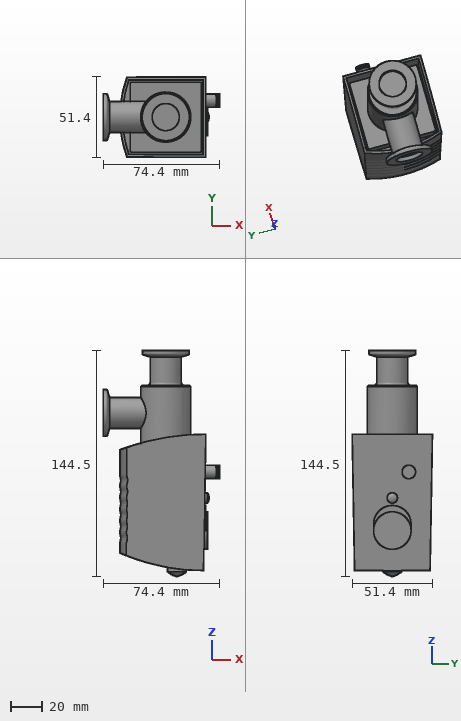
import cadquery as cq
import math


total_height = 144.5
flange_radius = 15.0
flange_edge = 1.9
flange_round_end = 2.9
flange_round_radius_end = 14.2
flange_thickness = 4.2
pipe_radius = 10.0
bore_radius = 8.7
bore_depth = 2.9
body_radius = 16.0
body_top_z = 122.2
body_chamfer = 0.9
neck_fillet = 1.9
side_pipe_z = 104.6
side_flange_face = 40.0

draft = math.tan(math.radians(1.0))
housing_top_z = 91.0
housing_bottom_z = 3.9
back_top_x = 25.7
half_width_top = 25.7
front_x = -29.3
front_radius = 73.7
front_axis_x = front_x + front_radius
top_arc_radius = 157.5
bottom_arc_radius = 133.0
wall = 1.7
margin = 7.2

grip_bottom_z = 20.7
grip_top_z = 65.6
grip_bands = 11
grip_runout = 2.2
grip_band = (grip_top_z - grip_bottom_z - 2 * grip_runout) / grip_bands
wave_rise = 0.26

block_top_z = 80.8
block_front_x = -22.5
block_back_x = 22.7
block_half_width = 22.4
block_corner = 0.7
recess_floor_z = 72.2

connector_y = 10.5
connector_z = 66.9
connector_radius = 4.3
connector_end_x = 34.4
connector_disc = 1.2
connector_groove = 1.0
groove_radius = 2.9

button_z = 50.3
button_radius = 3.3
button_rim_x = 26.6
button_tip_x = 27.7

badge_z = 29.5
badge_radius = 12.0
badge_plate_x = 25.7
badge_disc_x = 26.7
badge_shift = 4.0

foot_x = 7.1
foot_radius = 6.0
foot_rim_z = 3.2
foot_mid_z = 1.2
hole_x = -17.6
hole_y = 17.5
hole_radius = 1.5
hole_top_z = 13.7

root_x = 14.5
root_z = 28.9


def back_x(z):
    return back_top_x - (housing_top_z - z) * draft


def half_width(z):
    return half_width_top - (housing_top_z - z) * draft


def arc_drop(radius, run):
    """Distance an arc falls over a run measured from its level end."""
    return radius - math.sqrt(radius**2 - run**2)


def flanged_pipe(length):
    """Pipe along +Z from the origin, with its flange face at the given length."""
    return (
        cq.Workplane("XZ")
        .lineTo(pipe_radius, 0)
        .lineTo(pipe_radius, length - flange_thickness)
        .lineTo(flange_round_radius_end, length - flange_round_end)
        .tangentArcPoint((flange_radius, length - flange_edge), relative=False)
        .lineTo(flange_radius, length)
        .lineTo(0, length)
        .close()
        .revolve(360, (0, 0), (0, 1))
    )


def bore(length):
    return cq.Workplane("XY").workplane(offset=length - bore_depth).circle(bore_radius).extrude(bore_depth)


def to_side(solid):
    """Turn a solid lying along +Z to lie along -X at the height of the side pipe."""
    return solid.rotate((0, 0, 0), (0, 1, 0), -90).translate((0, 0, side_pipe_z))


def side_profile():
    """Housing seen along Y: arched top and bottom, leaning back wall."""
    far_x = front_x - margin
    back_bottom_x = back_x(housing_bottom_z)
    top_run = back_top_x - far_x
    bottom_run = back_bottom_x - far_x

    def top_point(run):
        return (back_top_x - run, housing_top_z - arc_drop(top_arc_radius, run))

    def bottom_point(run):
        return (back_bottom_x - run, housing_bottom_z + arc_drop(bottom_arc_radius, run))

    width = 2 * half_width_top + 2 * margin
    return (
        cq.Workplane("XZ")
        .moveTo(*top_point(0))
        .threePointArc(top_point(top_run / 2), top_point(top_run))
        .lineTo(*bottom_point(bottom_run))
        .threePointArc(bottom_point(bottom_run / 2), bottom_point(0))
        .close()
        .extrude(width / 2, both=True)
    )


def drafted_sides(inset):
    """Wedge-shaped slab between the two leaning side walls."""
    low = 0.0
    high = housing_top_z + margin
    low_half = half_width(low) - inset
    high_half = half_width(high) - inset
    return (
        cq.Workplane("YZ")
        .polyline([(-low_half, low), (low_half, low), (high_half, high), (-high_half, high)])
        .close()
        .extrude(front_radius, both=True)
    )


def grip_front():
    """Solid of revolution whose outer surface is the curved front with the grip."""
    middle = front_radius - wave_rise
    wave_start = grip_bottom_z + grip_runout
    wave_end = wave_start + grip_bands * grip_band
    profile = (
        cq.Workplane("XZ")
        .lineTo(front_radius, 0)
        .lineTo(front_radius, grip_bottom_z)
        .tangentArcPoint((middle, wave_start), relative=False)
    )
    for band in range(grip_bands):
        z = wave_start + band * grip_band
        rise = -wave_rise if band % 2 == 0 else wave_rise
        profile = profile.threePointArc((middle + rise, z + grip_band / 2), (middle, z + grip_band))
    return (
        profile.tangentArcPoint((front_radius, wave_end + grip_runout), relative=False)
        .lineTo(front_radius, housing_top_z + margin)
        .lineTo(0, housing_top_z + margin)
        .close()
        .revolve(360, (0, 0), (0, 1))
        .translate((front_axis_x, 0, 0))
    )


def recess():
    """Space inside the housing walls, around and above the block."""
    high = housing_top_z + margin
    outline = (
        cq.Workplane("XZ")
        .moveTo(front_x, recess_floor_z)
        .lineTo(back_x(recess_floor_z) - wall, recess_floor_z)
        .lineTo(back_x(high) - wall, high)
        .lineTo(front_x, high)
        .close()
        .extrude(half_width_top + margin, both=True)
    )
    front = cq.Workplane("XY").center(front_axis_x, 0).circle(front_radius - wall).extrude(high)
    block = (
        cq.Workplane("XY")
        .center((block_front_x + block_back_x) / 2, 0)
        .rect(block_back_x - block_front_x, 2 * block_half_width)
        .extrude(block_top_z)
        .edges("|Z")
        .fillet(block_corner)
    )
    return outline.intersect(drafted_sides(wall)).intersect(front).cut(block)


def back_rod(y, z, radius, end_x):
    return cq.Workplane("YZ", origin=(root_x, y, z)).circle(radius).extrude(end_x - root_x)


def connector():
    groove_end_x = connector_end_x - connector_disc
    groove = (
        cq.Workplane("YZ", origin=(groove_end_x - connector_groove, connector_y, connector_z))
        .circle(connector_radius)
        .circle(groove_radius)
        .extrude(connector_groove)
    )
    return back_rod(connector_y, connector_z, connector_radius, connector_end_x).cut(groove)


def button():
    """Round button with a domed end."""
    rise = button_tip_x - button_rim_x
    dome_radius = (button_radius**2 + rise**2) / (2 * rise)
    return (
        cq.Workplane("XY")
        .moveTo(root_x, 0)
        .lineTo(button_tip_x, 0)
        .radiusArc((button_rim_x, button_radius), -dome_radius)
        .lineTo(root_x, button_radius)
        .close()
        .revolve(360, (0, 0), (1, 0))
        .translate((0, 0, button_z))
    )


def badge():
    disc = back_rod(0, badge_z, badge_radius, badge_disc_x)
    plate = (
        cq.Workplane("YZ", origin=(root_x, 0, badge_z + badge_shift / 2))
        .slot2D(2 * badge_radius + badge_shift, 2 * badge_radius, 90)
        .extrude(badge_plate_x - root_x)
    )
    return disc.union(plate)


def foot():
    return (
        cq.Workplane("XZ")
        .threePointArc((foot_radius / 2, foot_mid_z), (foot_radius, foot_rim_z))
        .lineTo(foot_radius, root_z)
        .lineTo(0, root_z)
        .close()
        .revolve(360, (0, 0), (0, 1))
        .translate((foot_x, 0, 0))
    )


housing = side_profile().intersect(drafted_sides(0)).intersect(grip_front()).cut(recess())
holes = (
    cq.Workplane("XY")
    .pushPoints([(hole_x, -hole_y), (hole_x, hole_y)])
    .circle(hole_radius)
    .extrude(hole_top_z)
)
housing = housing.cut(holes)

pipework = (
    cq.Workplane("XY")
    .workplane(offset=recess_floor_z)
    .circle(body_radius)
    .extrude(body_top_z - recess_floor_z)
    .faces(">Z")
    .chamfer(body_chamfer)
)
neck = (
    cq.Workplane("XZ")
    .moveTo(0, body_top_z)
    .lineTo(pipe_radius + neck_fillet, body_top_z)
    .radiusArc((pipe_radius, body_top_z + neck_fillet), neck_fillet)
    .lineTo(0, body_top_z + neck_fillet)
    .close()
    .revolve(360, (0, 0), (0, 1))
)
top_pipe_length = total_height - body_top_z
top_pipe = flanged_pipe(top_pipe_length).cut(bore(top_pipe_length)).translate((0, 0, body_top_z))
side_pipe = to_side(flanged_pipe(side_flange_face).cut(bore(side_flange_face)))
pipework = pipework.union(neck).union(top_pipe).union(side_pipe)

result = housing.union(pipework)
for fitting in (connector(), button(), badge(), foot()):
    result = result.union(fitting)